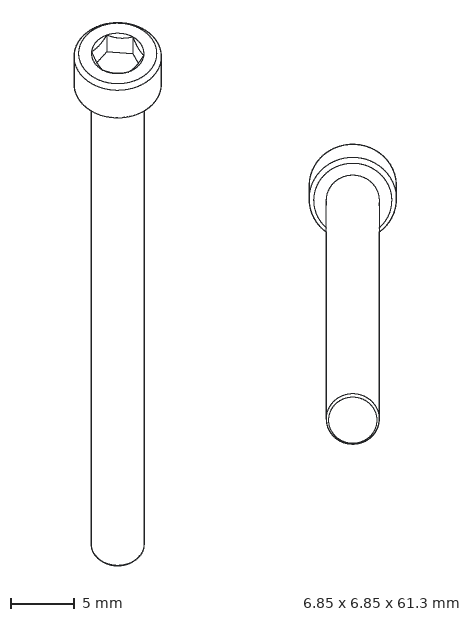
import cadquery as cq
import math

total_length = 61.3
head_diameter = 6.85
shank_diameter = 4.2
head_height = shank_diameter
head_chamfer = 0.35
tip_chamfer_height = 0.3
tip_chamfer_width = 0.2
hex_across_flats = 3.55
socket_depth = head_height / 2
across_corners = hex_across_flats / math.cos(math.pi / 6)

tip_z = -total_length / 2
head_top_z = total_length / 2
head_bottom_z = head_top_z - head_height


def make_turned_body():
    """Revolve the half profile of shank and head, with chamfered tip and rims."""
    shank_radius = shank_diameter / 2
    head_radius = head_diameter / 2
    profile = [
        (0, tip_z),
        (shank_radius - tip_chamfer_width, tip_z),
        (shank_radius, tip_z + tip_chamfer_height),
        (shank_radius, head_bottom_z),
        (head_radius - head_chamfer, head_bottom_z),
        (head_radius, head_bottom_z + head_chamfer),
        (head_radius, head_top_z - head_chamfer),
        (head_radius - head_chamfer, head_top_z),
        (0, head_top_z),
    ]
    return cq.Workplane("XZ").polyline(profile).close().revolve(360, (0, 0, 0), (0, 1, 0))


def make_hex_socket():
    """Hexagonal drive recess with two corners on the Y axis."""
    socket = cq.Workplane("XY", origin=(0, 0, head_top_z - socket_depth))
    return socket.transformed(rotate=(0, 0, 90)).polygon(6, across_corners).extrude(socket_depth)


def make_socket_countersink():
    """45 degree cone that meets the hexagon's corners at the top face."""
    mouth_radius = across_corners / 2
    cone = cq.Solid.makeCone(mouth_radius, 0, mouth_radius, cq.Vector(0, 0, head_top_z), cq.Vector(0, 0, -1))
    return cq.Workplane("XY").add(cone)


result = make_turned_body().cut(make_hex_socket()).cut(make_socket_countersink())